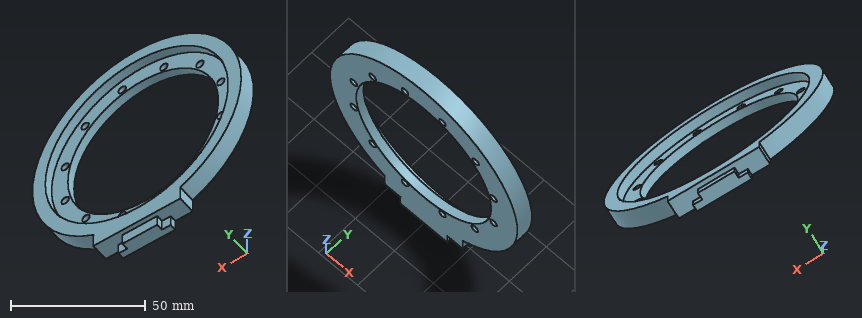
import cadquery as cq
import math

thickness = 8.0
outer_radius = 48.0
bore_radius = 34.5

flange_thickness = 4.0
recess_radius = 42.0

foot_width = 40.0
foot_bottom = -50.0

tongue_bottom = -55.0
tongue_layer_depth = 3.0
tongue_front_width = 24.0
tongue_back_inset = 4.0
tongue_back_width = tongue_front_width - 2 * tongue_back_inset

hole_diameter = 3.4
hole_count = 12
hole_circle_radius = 37.0
hole_pitch = 360.0 / hole_count
first_hole_angle = hole_pitch / 2
offset_hole_index = 1
offset_hole_radius = 37.6


def block(width, front, depth, bottom, top):
    """Box centred on X = 0, from Y = front and between two heights."""
    solid = cq.Workplane("XY").box(width, depth, top - bottom, centered=(True, False, False))
    return solid.translate((0, front, bottom))


def cylinder(radius, front=0.0):
    """Cylinder about the Y axis from Y = front to the back face."""
    return cq.Workplane("XZ", origin=(0, front, 0)).circle(radius).extrude(-(thickness - front))


def hole_centres():
    """X and Z of every screw hole."""
    centres = []
    for index in range(hole_count):
        angle = math.radians(first_hole_angle + index * hole_pitch)
        radius = offset_hole_radius if index == offset_hole_index else hole_circle_radius
        centres.append((radius * math.cos(angle), radius * math.sin(angle)))
    return centres


def screw_holes():
    """Pins that cut the screw holes through the flange."""
    return cq.Workplane("XZ").pushPoints(hole_centres()).circle(hole_diameter / 2).extrude(-flange_thickness)


def foot():
    """Full thickness block from the ring axis down to the foot underside."""
    return block(foot_width, 0, thickness, foot_bottom, 0)


def tongue():
    """Wide front layer with a narrower layer behind it."""
    root = -(outer_radius + recess_radius) / 2
    front = block(tongue_front_width, 0, tongue_layer_depth, tongue_bottom, root)
    back = block(tongue_back_width, tongue_layer_depth, tongue_layer_depth, tongue_bottom, root)
    return front.union(back)


body = cylinder(outer_radius).union(foot()).union(tongue())
bore = cylinder(bore_radius)
recess = cylinder(recess_radius, flange_thickness)
result = body.cut(bore).cut(recess).cut(screw_holes())